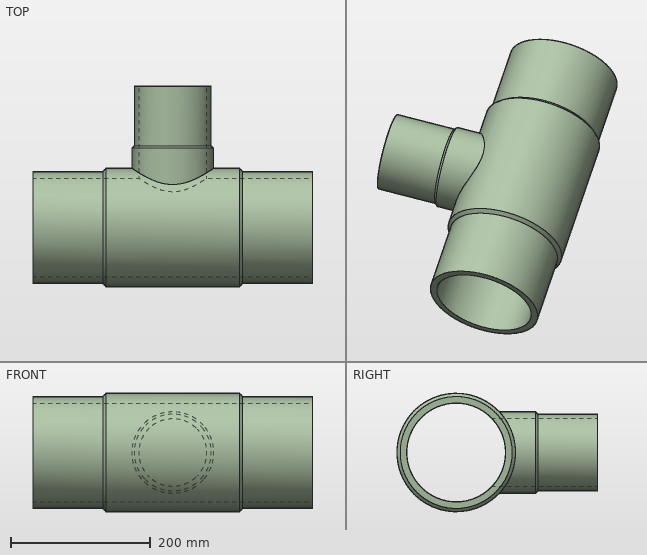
import cadquery as cq

run_length = 400.0
run_diameter = 160.0
run_bore = 141.0

sleeve_length = 200.0
sleeve_diameter = 169.5
sleeve_chamfer = (sleeve_diameter - run_diameter) / 2

branch_reach = 202.0
branch_diameter = 110.0
branch_bore = branch_diameter * run_bore / run_diameter
collar_reach = 117.0
collar_diameter = 117.0
collar_chamfer = (collar_diameter - branch_diameter) / 2


def run_cylinder(diameter, length):
    """Cylinder along X, centred on the origin."""
    return cq.Workplane("YZ").circle(diameter / 2).extrude(length / 2, both=True)


def branch_cylinder(diameter, reach):
    """Cylinder from the origin along +Y."""
    return cq.Workplane("XZ").circle(diameter / 2).extrude(-reach)


sleeve = run_cylinder(sleeve_diameter, sleeve_length).faces("<X or >X").chamfer(sleeve_chamfer)
collar = branch_cylinder(collar_diameter, collar_reach).faces(">Y").chamfer(collar_chamfer)
outside = (
    run_cylinder(run_diameter, run_length)
    .union(sleeve)
    .union(collar)
    .union(branch_cylinder(branch_diameter, branch_reach))
)

result = (
    outside
    .cut(run_cylinder(run_bore, run_length))
    .cut(branch_cylinder(branch_bore, branch_reach))
)